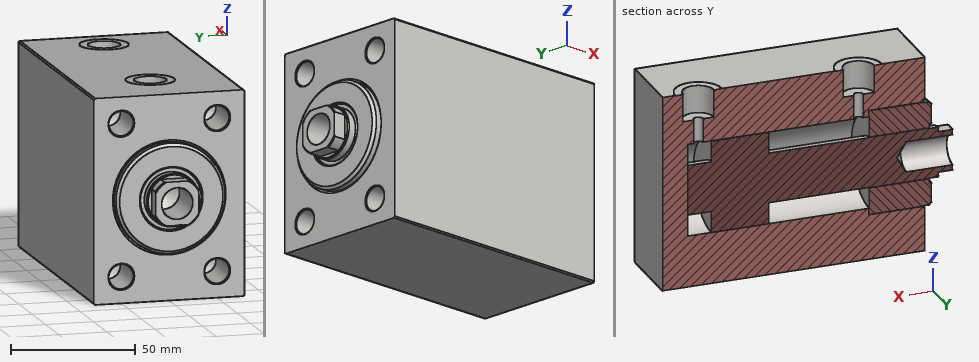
import cadquery as cq
import math


block_length = 113.0
block_width = 63.0
block_height = 85.0
edge_chamfer = 0.6

bore_diameter = 40.0
end_wall = 11.0
bore_end = block_length - end_wall
gland_diameter = 45.5
gland_depth = 24.0
seat_chamfer = 0.9

mount_spacing_y = 40.0
mount_spacing_z = 63.0
mount_diameter = 10.2
mount_chamfer = 0.4
mount_depth = 20.0

port_front = 28.5
port_spacing = 69.0
port_positions = [port_front, port_front + port_spacing]
port_diameter = 13.2
port_depth = 12.0
port_face_diameter = 20.0
port_face_depth = 0.1
passage_diameter = 4.0

gland_protrusion = 3.0
gland_chamfer = 1.2
wiper_recess_diameter = 25.5
wiper_recess_depth = 1.0
wiper_recess_chamfer = 0.5

rod_diameter = 22.0
rod_shoulder_chamfer = 0.5
rod_shoulder_reach = 6.0
rod_end_reach = 12.0
wrench_end_diameter = 20.8
wrench_flats = 18.0
wrench_end_chamfer = 0.3
rod_hole_diameter = 13.0
rod_hole_depth = 20.0
piston_length = 25.0
piston_end = 92.0

drill_point_angle = 118.0


def cylinder_x(diameter, start, end):
    """Cylinder about the X axis between two x positions."""
    return cq.Workplane("YZ", origin=(start, 0, 0)).circle(diameter / 2).extrude(end - start)


def countersink(diameter, start, size):
    """45 degree cone about the X axis that breaks the mouth edge of a hole opening towards -X."""
    radius = diameter / 2
    cone = cq.Solid.makeCone(radius + size, radius, size, cq.Vector(start, 0, 0), cq.Vector(1, 0, 0))
    return cq.Workplane(cone)


def drilled_hole(diameter, start, depth):
    """Cutter about the X axis: straight hole with a conical drill point."""
    radius = diameter / 2
    point_length = radius / math.tan(math.radians(drill_point_angle / 2))
    end = start + depth
    profile = [(start, 0), (start, radius), (end, radius), (end + point_length, 0)]
    return cq.Workplane("XY").polyline(profile).close().revolve(360, (0, 0, 0), (1, 0, 0))


def port_cutter(x):
    """Spot face, flat-bottomed port and narrow passage from the top face into the bore."""
    top = cq.Workplane("XY", origin=(x, 0, block_height / 2))
    spot_face = top.circle(port_face_diameter / 2).extrude(-port_face_depth)
    port = top.circle(port_diameter / 2).extrude(-port_depth)
    passage = top.circle(passage_diameter / 2).extrude(-block_height / 2)
    return spot_face.union(port).union(passage)


def make_housing():
    """Chamfered block with ports, bore, gland seat and mounting holes."""
    housing = (
        cq.Workplane("YZ")
        .rect(block_width, block_height)
        .extrude(block_length)
        .edges("|X")
        .chamfer(edge_chamfer)
    )
    for x in port_positions:
        housing = housing.cut(port_cutter(x))
    housing = housing.cut(cylinder_x(bore_diameter, 0, bore_end))
    gland_seat = cylinder_x(gland_diameter, 0, gland_depth)
    housing = housing.cut(gland_seat).cut(countersink(gland_diameter, 0, seat_chamfer))

    mount_hole = drilled_hole(mount_diameter, 0, mount_depth)
    mount_hole = mount_hole.union(countersink(mount_diameter, 0, mount_chamfer))
    for side_y in (-1, 1):
        for side_z in (-1, 1):
            offset = (0, side_y * mount_spacing_y / 2, side_z * mount_spacing_z / 2)
            housing = housing.cut(mount_hole.translate(offset))
    return housing


def make_gland():
    """Plug with a chamfered front rim, a wiper recess and the rod hole."""
    gland = cylinder_x(gland_diameter, -gland_protrusion, gland_depth)
    gland = gland.faces("<X").chamfer(gland_chamfer)
    front = -gland_protrusion
    gland = gland.cut(cylinder_x(wiper_recess_diameter, front, front + wiper_recess_depth))
    gland = gland.cut(countersink(wiper_recess_diameter, front, wiper_recess_chamfer))
    return gland.cut(cylinder_x(rod_diameter, -gland_protrusion, gland_depth))


def make_rod():
    """Rod with a squared, drilled front end and the piston."""
    rod = cylinder_x(rod_diameter, -rod_shoulder_reach, bore_end)
    rod = rod.faces("<X").chamfer(rod_shoulder_chamfer)
    wrench_end = cylinder_x(wrench_end_diameter, -rod_end_reach, -rod_shoulder_reach)
    wrench_end = wrench_end.faces("<X").chamfer(wrench_end_chamfer)
    square = cq.Workplane("YZ", origin=(-rod_end_reach, 0, 0)).rect(wrench_flats, wrench_flats)
    wrench_end = wrench_end.intersect(square.extrude(rod_end_reach - rod_shoulder_reach))
    piston = cylinder_x(bore_diameter, piston_end - piston_length, piston_end)
    rod = rod.union(wrench_end).union(piston)
    return rod.cut(drilled_hole(rod_hole_diameter, -rod_end_reach, rod_hole_depth))


housing = make_housing()
gland = make_gland()
rod = make_rod()

result = cq.Compound.makeCompound([housing.val(), gland.val(), rod.val()])